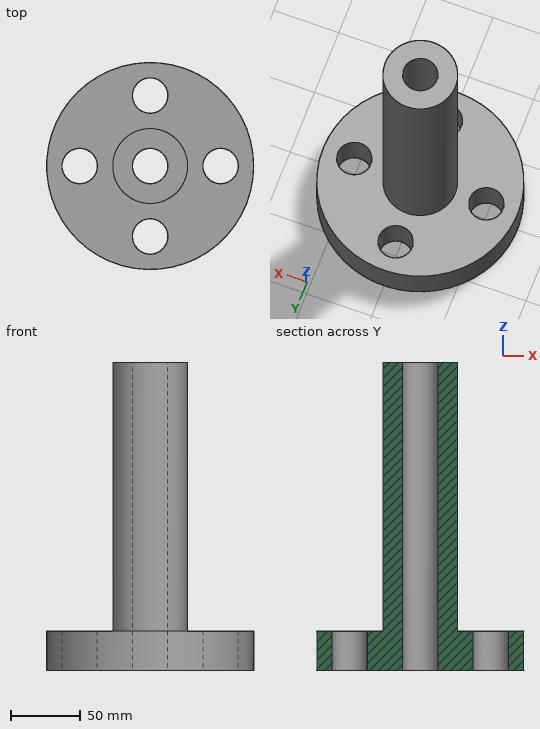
import cadquery as cq

total_height = 222.2
flange_diameter = 149.4
flange_thickness = 28.5
neck_diameter = 54.0
bore_diameter = 25.3
bolt_hole_diameter = 25.3
bolt_circle_diameter = 101.5
bolt_count = 4


def make_body():
    """Round flange with its bottom face at Z = 0 and a long neck standing on it."""
    flange = cq.Workplane("XY").circle(flange_diameter / 2).extrude(flange_thickness)
    neck = cq.Workplane("XY").circle(neck_diameter / 2).extrude(total_height)
    return flange.union(neck)


def make_bore():
    """Cutter for the central bore, running the full height."""
    return cq.Workplane("XY").circle(bore_diameter / 2).extrude(total_height)


def make_bolt_holes():
    """Cutters for the bolt holes through the flange, the first one on the +X axis."""
    return (
        cq.Workplane("XY")
        .polarArray(bolt_circle_diameter / 2, 0, 360, bolt_count)
        .circle(bolt_hole_diameter / 2)
        .extrude(flange_thickness)
    )


result = make_body().cut(make_bore()).cut(make_bolt_holes())